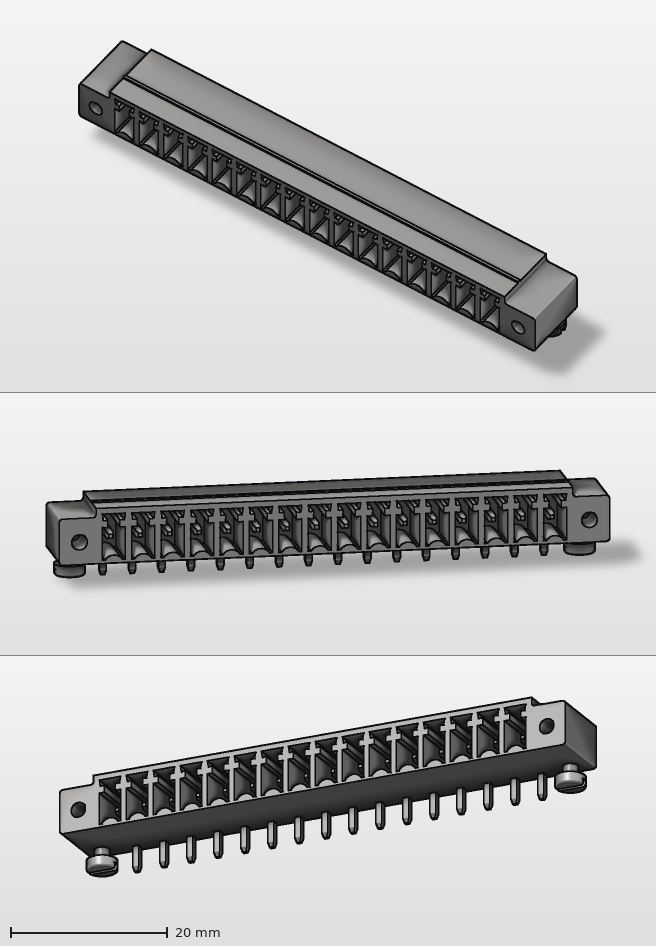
import cadquery as cq
import math


length = 71.35
depth = 9.2
flange_height = 6.1
body_height = 7.3
body_length = 61.8
corner_radius = 0.5
step_radius = 0.4

rib_front = 3.0
rib_width = 0.4
rib_height = 0.2

contact_count = 16
contact_span = 57.15
contact_pitch = contact_span / (contact_count - 1)
pin_width = 0.85
pin_tip_width = 0.5
pin_height = 3.0
pin_point_length = 0.65
pin_front = 2.15
tail_y = 8.05
tail_length = 3.4

chamber_depth = 6.8
chamber_width = 3.0
chamber_floor = 0.4
chamber_top = 6.5
throat_width = 1.6
throat_bottom = 4.7
throat_top = 5.65
head_bottom_width = 2.7
key_width = 2.3
key_height = 0.65

flange_x = 33.0
hole_diameter = 2.0
hole_height = 2.9
hole_depth = 5.0
screw_y = 7.05
shank_diameter = 2.0
shank_length = 1.5
head_diameter = 4.0
head_height = 1.5
head_radius = 0.35
slot_width = 0.7
slot_depth = 0.85


def make_housing():
    """Stepped bar with rounded ends and a fillet in each step."""
    end = length / 2
    step = body_length / 2
    profile = (
        cq.Workplane("XZ")
        .moveTo(0, 0)
        .lineTo(end - corner_radius, 0)
        .tangentArcPoint((end, corner_radius), relative=False)
        .lineTo(end, flange_height - corner_radius)
        .tangentArcPoint((end - corner_radius, flange_height), relative=False)
        .lineTo(step + step_radius, flange_height)
        .tangentArcPoint((step, flange_height + step_radius), relative=False)
        .lineTo(step, body_height)
        .lineTo(0, body_height)
        .close()
    )
    half = profile.extrude(-depth)
    rib = cq.Workplane("XY").box(body_length, rib_width, rib_height, centered=(True, False, False))
    return half.union(half.mirror("YZ")).union(rib.translate((0, rib_front, body_height)))


def make_chamber():
    """Pocket with a keyed floor, a narrow throat and a dovetail head."""
    wall = chamber_width / 2
    throat = throat_width / 2
    head = head_bottom_width / 2
    key = key_width / 2
    return (
        cq.Workplane("XZ")
        .moveTo(-wall, chamber_floor)
        .lineTo(-key, chamber_floor)
        .threePointArc((0, chamber_floor + key_height), (key, chamber_floor))
        .lineTo(wall, chamber_floor)
        .lineTo(wall, throat_bottom)
        .lineTo(throat, throat_bottom)
        .lineTo(throat, throat_top)
        .lineTo(head, throat_top)
        .lineTo(wall, chamber_top)
        .lineTo(-wall, chamber_top)
        .lineTo(-head, throat_top)
        .lineTo(-throat, throat_top)
        .lineTo(-throat, throat_bottom)
        .lineTo(-wall, throat_bottom)
        .close()
        .extrude(-chamber_depth)
    )


def square_pin(pin_length):
    """Square pin rising from Z = 0 to a tapered point at the given length."""
    shoulder = pin_length - pin_point_length
    taper = math.degrees(math.atan((pin_width - pin_tip_width) / 2 / pin_point_length))
    return (
        cq.Workplane("XY")
        .rect(pin_width, pin_width)
        .extrude(shoulder)
        .faces(">Z")
        .workplane()
        .rect(pin_width, pin_width)
        .extrude(pin_point_length, taper=taper)
    )


def make_contact():
    """Bent contact: a mating pin toward the front and a solder tail pointing down."""
    mating = square_pin(tail_y - pin_front).rotate((0, 0, 0), (1, 0, 0), 90)
    tail = square_pin(tail_length + pin_height).rotate((0, 0, 0), (1, 0, 0), 180)
    return mating.union(tail).translate((0, tail_y, pin_height))


def make_screw():
    """Slotted mounting screw hanging below the housing, with its shank let into it."""
    head = (
        cq.Workplane("XY")
        .circle(head_diameter / 2)
        .extrude(-head_height)
        .faces("<Z")
        .edges()
        .fillet(head_radius)
    )
    slot = cq.Workplane("XY").box(head_diameter, slot_width, slot_depth, centered=(True, True, False))
    head = head.cut(slot.translate((0, 0, -head_height))).translate((0, 0, -shank_length))
    shank = cq.Workplane("XY").workplane(offset=-shank_length).circle(shank_diameter / 2)
    shank = shank.extrude(shank_length + hole_height)
    return head.union(shank).translate((0, screw_y, 0))


result = make_housing()

chamber = make_chamber()
contact = make_contact()
for index in range(contact_count):
    offset = (index * contact_pitch - contact_span / 2, 0, 0)
    result = result.cut(chamber.translate(offset)).union(contact.translate(offset))

hole = cq.Workplane("XZ").center(0, hole_height).circle(hole_diameter / 2).extrude(-hole_depth)
screw = make_screw()
for x in (-flange_x, flange_x):
    result = result.cut(hole.translate((x, 0, 0))).union(screw.translate((x, 0, 0)))